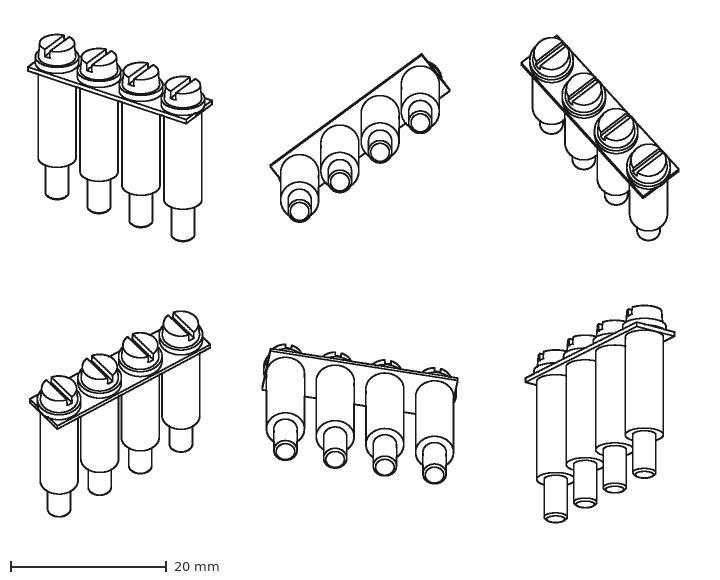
import cadquery as cq

screw_count = 4
screw_pitch = 6.5

plate_length = 24.5
plate_width = 6.0
plate_thickness = 0.6

flange_diameter = 5.6
flange_height = 0.9
head_base_diameter = 4.8
head_top_diameter = 4.5
head_height = 2.0
slot_width = 0.8
slot_depth = 1.0

sleeve_diameter = 4.9
sleeve_length = 13.5
shank_diameter = 3.0
shank_length = 5.5
shank_chamfer = 0.3

flange_top = plate_thickness + flange_height
head_top = flange_top + head_height
shank_end = -(sleeve_length + shank_length)


def make_screw():
    """One screw with its sleeve, revolved about the Z axis and slotted along Y."""
    flange_radius = flange_diameter / 2
    head_base_radius = head_base_diameter / 2
    head_top_radius = head_top_diameter / 2
    sleeve_radius = sleeve_diameter / 2
    shank_radius = shank_diameter / 2

    half_profile = [
        (0, shank_end),
        (shank_radius - shank_chamfer, shank_end),
        (shank_radius, shank_end + shank_chamfer),
        (shank_radius, -sleeve_length),
        (sleeve_radius, -sleeve_length),
        (sleeve_radius, plate_thickness),
        (flange_radius, plate_thickness),
        (flange_radius, flange_top),
        (head_base_radius, flange_top),
        (head_top_radius, head_top),
        (0, head_top),
    ]
    body = cq.Workplane("XZ").polyline(half_profile).close().revolve(360, (0, 0), (0, 1))
    slot = (
        cq.Workplane("XY")
        .workplane(offset=head_top - slot_depth)
        .rect(slot_width, flange_diameter)
        .extrude(slot_depth)
    )
    return body.cut(slot)


def make_plate():
    """Flat plate joining all the screws."""
    return cq.Workplane("XY").rect(plate_length, plate_width).extrude(plate_thickness)


result = make_plate()
screw = make_screw()
for index in range(screw_count):
    screw_x = (index - (screw_count - 1) / 2) * screw_pitch
    result = result.union(screw.translate((screw_x, 0, 0)))